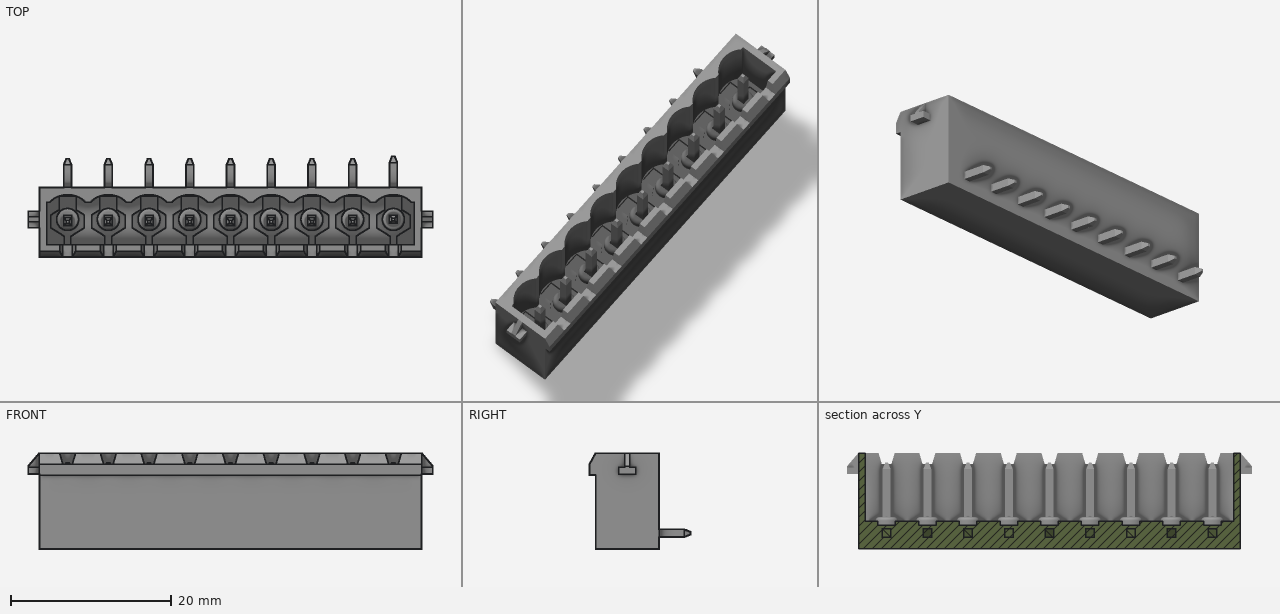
import cadquery as cq

pole_count = 9
pitch = 5.08
pole_xs = [(i - (pole_count - 1) / 2) * pitch for i in range(pole_count)]

body_length = 47.7
overall_length = 50.52
body_height = 12.0
back_y = 4.0
front_y = -3.95

lip_reach = 0.75
lip_front_y = front_y - lip_reach
lip_height = 2.76
lip_chamfer_height = 1.37
lip_chamfer_bottom_z = body_height - lip_chamfer_height

floor_z = 3.5
end_wall = 0.9
front_wall = 0.77
back_wall = 0.9
cavity_front_y = front_y + front_wall
cusp_y = 2.13
scallop_half_width = 2.25
scallop_top_y = back_y - back_wall
cavity_length = body_length - 2 * end_wall
cavity_height = body_height - floor_z

recess_depth = 0.5
recess_half_width = 2.09
recess_shoulder_y = 0.55
recess_hip_y = -1.05
rear_slot_half_width = 1.06
rear_slot_start_y = 1.2
rear_slot_end_y = 2.9
front_slot_half_width = 0.42
front_slot_start_y = -2.1

collar_diameter = 2.75
collar_round = 0.42
collar_height = 0.5
collar_top_z = floor_z + collar_height

notch_top_width = 2.0
notch_bottom_width = 1.2

tab_reach = (overall_length - body_length) / 2
tab_width = 2.1
tab_drop = 1.8
tab_top_z = body_height - tab_drop
tab_height = 0.84
rib_width = 0.63
rib_drop = 1.65
rib_outer_z = body_height - rib_drop

pin_size = 1.0
pin_top_z = 10.8
tail_z = 2.0
tail_reach = 3.9
tip_length = 0.8
tip_size = 0.35
forward_pin_offset = -0.3
centred_pin_offset = 0.0
pin_offsets = [forward_pin_offset] * (pole_count - 1) + [centred_pin_offset]


def box(x_size, y_min, y_max, z_min, z_max, x_centre=0.0):
    """Box centred on x_centre in X and spanning the given Y and Z limits."""
    return (
        cq.Workplane("XY")
        .box(x_size, y_max - y_min, z_max - z_min, centered=(True, False, False))
        .translate((x_centre, y_min, z_min))
    )


def make_shell():
    """Solid block with the chamfered lip, extruded along X."""
    profile = [
        (back_y, 0),
        (front_y, 0),
        (front_y, body_height - lip_height),
        (lip_front_y, body_height - lip_height),
        (lip_front_y, lip_chamfer_bottom_z),
        (front_y, body_height),
        (back_y, body_height),
    ]
    return cq.Workplane("YZ").polyline(profile).close().extrude(body_length / 2, both=True)


def make_cavity():
    """Trough with a shallow arched scallop in its back wall at each pole."""
    cavity = box(cavity_length, cavity_front_y, cusp_y, floor_z, body_height)
    for x in pole_xs:
        scallop = (
            cq.Workplane("XY", origin=(x, 0, floor_z))
            .moveTo(-scallop_half_width, cusp_y)
            .threePointArc((0, scallop_top_y), (scallop_half_width, cusp_y))
            .close()
            .extrude(cavity_height)
        )
        cavity = cavity.union(scallop)
    return cavity


def make_recess(x):
    """Keyhole-shaped recess that runs from the front wall back into the scallop of the cavity."""
    right_side = [
        (front_slot_half_width, cavity_front_y),
        (front_slot_half_width, front_slot_start_y),
        (recess_half_width, recess_hip_y),
        (recess_half_width, recess_shoulder_y),
        (rear_slot_half_width, rear_slot_start_y),
        (rear_slot_half_width, rear_slot_end_y),
    ]
    left_side = [(-px, py) for px, py in reversed(right_side)]
    return (
        cq.Workplane("XY", origin=(x, 0, floor_z - recess_depth))
        .polyline(right_side + left_side)
        .close()
        .extrude(recess_depth)
    )


def make_collar(x):
    """Cylinder with a rounded top edge that stands in the keyhole recess."""
    bottom_z = floor_z - recess_depth
    return (
        cq.Workplane("XY", origin=(x, 0, bottom_z))
        .circle(collar_diameter / 2)
        .extrude(collar_top_z - bottom_z)
        .faces(">Z")
        .edges()
        .fillet(collar_round)
    )


def make_notch(x):
    """Tapered notch through the front wall and the chamfer of the lip."""
    profile = [
        (-notch_bottom_width / 2, lip_chamfer_bottom_z),
        (notch_bottom_width / 2, lip_chamfer_bottom_z),
        (notch_top_width / 2, body_height),
        (-notch_top_width / 2, body_height),
    ]
    return (
        cq.Workplane("XZ", origin=(x, cavity_front_y, 0))
        .polyline(profile)
        .close()
        .extrude(cavity_front_y - lip_front_y)
    )


def make_end_tab():
    """Tab and sloping rib on the -X end."""
    end_x = -body_length / 2
    tab_bottom_z = tab_top_z - tab_height
    tab_centre_x = end_x - tab_reach / 2
    tab = box(tab_reach, -tab_width / 2, tab_width / 2, tab_bottom_z, tab_top_z, tab_centre_x)
    rib_profile = [
        (end_x, body_height),
        (end_x - tab_reach, rib_outer_z),
        (end_x - tab_reach, tab_top_z),
        (end_x, tab_top_z),
    ]
    rib = cq.Workplane("XZ").polyline(rib_profile).close().extrude(rib_width / 2, both=True)
    return tab.union(rib)


def make_pin_channel(x, offset):
    """Clearance for one pin: an upright shaft and a passage through the back wall."""
    half = pin_size / 2
    shaft = box(pin_size, offset - half, half, tail_z - half, collar_top_z, x)
    passage = box(pin_size, offset - half, back_y, tail_z - half, tail_z + half, x)
    return shaft.union(passage)


def make_housing():
    housing = make_shell().cut(make_cavity())
    for x, offset in zip(pole_xs, pin_offsets):
        housing = housing.cut(make_recess(x)).union(make_collar(x))
        housing = housing.cut(make_notch(x)).cut(make_pin_channel(x, offset))
    end_tab = make_end_tab()
    return housing.union(end_tab).union(end_tab.mirror("YZ"))


def make_tip(plane):
    """Square point that tapers along the normal of the plane."""
    return (
        cq.Workplane(plane)
        .rect(pin_size, pin_size)
        .workplane(offset=tip_length)
        .rect(tip_size, tip_size)
        .loft(ruled=True)
    )


def make_pin(x, offset):
    """L-shaped square pin, shifted along Y by its offset."""
    tail_tip_y = back_y + tail_reach + offset
    tail_shoulder_y = tail_tip_y - tip_length
    leg_shoulder_z = pin_top_z - tip_length
    half = pin_size / 2
    leg = box(pin_size, offset - half, offset + half, tail_z - half, leg_shoulder_z, x)
    tail = box(pin_size, offset - half, tail_shoulder_y, tail_z - half, tail_z + half, x)
    leg_tip = make_tip(cq.Plane((x, offset, leg_shoulder_z), (1, 0, 0), (0, 0, 1)))
    tail_tip = make_tip(cq.Plane((x, tail_shoulder_y, tail_z), (1, 0, 0), (0, 1, 0)))
    return leg.union(tail).union(leg_tip).union(tail_tip)


housing = make_housing()
pins = [make_pin(x, offset) for x, offset in zip(pole_xs, pin_offsets)]

result = cq.Compound.makeCompound([housing.val(), *[pin.val() for pin in pins]])